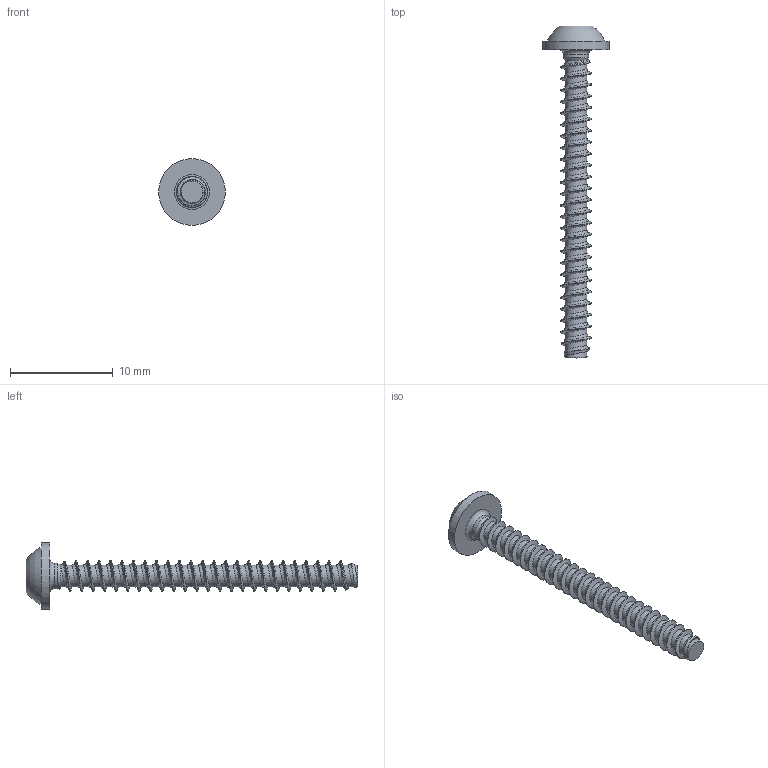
import cadquery as cq
import math


flange_radius = 3.25
flange_thickness = 0.83
head_height = 2.3
dome_base_radius = 2.8
dome_top_radius = 1.55

shank_length = 30.0
core_radius = 1.06
neck_radius = 1.24
neck_fillet = 0.45
neck_end = 0.78
neck_taper_end = 1.1

thread_radius = 1.5
pitch = 1.12
crest_half_width = 0.025
knee_radius = 1.14
knee_width = 0.17
head_foot_width = 0.46
tip_foot_width = 0.15
thread_overlap = 0.03
lowest_crest = 0.28

run_in_start = 0.78
run_in_end = 1.65
run_out_start = 1.7
run_out_end = 0.08

tip_y = -shank_length


def make_body():
    """Head, neck and core as one revolved solid."""
    dome_rise = head_height - flange_thickness
    centre_drop = (dome_base_radius**2 - dome_top_radius**2 - dome_rise**2) / (2 * dome_rise)
    sphere_radius = math.hypot(dome_base_radius, centre_drop)
    sphere_centre_y = flange_thickness - centre_drop
    dome_mid_radius = (dome_base_radius + dome_top_radius) / 2
    dome_mid_y = sphere_centre_y + math.sqrt(sphere_radius**2 - dome_mid_radius**2)

    return (
        cq.Workplane("XY")
        .moveTo(0, tip_y)
        .lineTo(core_radius, tip_y)
        .lineTo(core_radius, -neck_taper_end)
        .lineTo(neck_radius, -neck_end)
        .lineTo(neck_radius, -neck_fillet)
        .radiusArc((neck_radius + neck_fillet, 0), neck_fillet)
        .lineTo(flange_radius, 0)
        .lineTo(flange_radius, flange_thickness)
        .lineTo(dome_base_radius, flange_thickness)
        .threePointArc((dome_mid_radius, dome_mid_y), (dome_top_radius, head_height))
        .lineTo(0, head_height)
        .close()
        .revolve(360, (0, 0, 0), (0, 1, 0))
    )


def make_thread():
    """Right-handed helical ridge, untrimmed, running along +Z from Z = 0."""
    root_radius = core_radius - thread_overlap
    shallow_slope = (head_foot_width - knee_width) / (knee_radius - core_radius)
    steep_slope = (tip_foot_width - crest_half_width) / (thread_radius - core_radius)
    profile = [
        (root_radius, -tip_foot_width - steep_slope * thread_overlap),
        (thread_radius, -crest_half_width),
        (thread_radius, crest_half_width),
        (knee_radius, knee_width),
        (root_radius, head_foot_width + shallow_slope * thread_overlap),
    ]

    turns = math.ceil(shank_length / pitch) + 1
    helices = [
        cq.Wire.makeHelix(pitch, turns * pitch, radius, cq.Vector(0, 0, offset))
        for radius, offset in profile
    ]
    next_helices = helices[1:] + helices[:1]
    sides = [cq.Face.makeRuledSurface(a, b) for a, b in zip(helices, next_helices)]

    def end_cap(position):
        corners = [helix.positionAt(position) for helix in helices]
        return cq.Face.makeFromWires(cq.Wire.makePolygon(corners, close=True))

    flanks = [face for side in sides for face in side.Faces()]
    shell = cq.Shell.makeShell(flanks + [end_cap(0), end_cap(1)])
    return cq.Workplane(cq.Solid.makeSolid(shell))


def place_thread(thread):
    """Turn the ridge onto the screw axis, starting on -X one turn below its lowest crest."""
    return (
        thread.rotate((0, 0, 0), (0, 0, 1), 180)
        .rotate((0, 0, 0), (1, 0, 0), -90)
        .translate((0, tip_y + lowest_crest - pitch, 0))
    )


def make_thread_envelope():
    """Space the thread may fill: a cylinder tapered at both ends."""
    clearance = 0.1
    envelope_radius = thread_radius + clearance
    run_out_slope = (run_out_start - run_out_end) / (thread_radius - core_radius)
    run_in_slope = (run_in_end - run_in_start) / (thread_radius - neck_radius)
    sunk_depth = thread_overlap / 2
    lower_end = tip_y + run_out_end - run_out_slope * sunk_depth
    return (
        cq.Workplane("XY")
        .moveTo(0, lower_end)
        .lineTo(core_radius - sunk_depth, lower_end)
        .lineTo(envelope_radius, tip_y + run_out_start + run_out_slope * clearance)
        .lineTo(envelope_radius, -run_in_end - run_in_slope * clearance)
        .lineTo(neck_radius, -run_in_start)
        .lineTo(0, -run_in_start)
        .close()
        .revolve(360, (0, 0, 0), (0, 1, 0))
    )


thread = place_thread(make_thread()).intersect(make_thread_envelope())
result = make_body().union(thread)